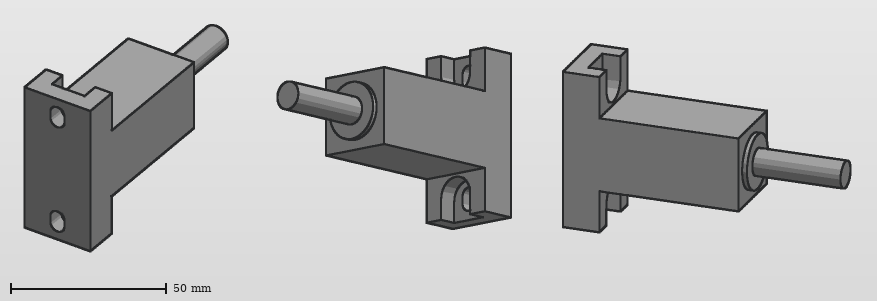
import cadquery as cq

width = 25.4
plate_height = 54.0
plate_thickness = 12.6

body_length = 48.0
collar_diameter = 18.8
collar_length = 1.7
rod_diameter = 9.2
total_length = 92.6
rod_length = total_length - plate_thickness - body_length - collar_length

slot_spacing = 40.1
slot_width = 5.4
slot_length = 7.7
recess_width = 12.6
recess_depth = 6.2


def round_bottomed_recess(side):
    """Recess in the back of the plate, open at the end given by side (+1 or -1)."""
    centre_z = side * slot_spacing / 2
    open_length = plate_height / 2 - slot_spacing / 2
    start_y = plate_thickness - recess_depth
    round_end = (
        cq.Workplane("XZ", origin=(0, start_y, centre_z))
        .circle(recess_width / 2)
        .extrude(-recess_depth)
    )
    open_end = (
        cq.Workplane("XZ", origin=(0, start_y, centre_z + side * open_length / 2))
        .rect(recess_width, open_length)
        .extrude(-recess_depth)
    )
    return round_end.union(open_end)


plate = cq.Workplane("XZ").rect(width, plate_height).extrude(-plate_thickness)

slots = (
    cq.Workplane("XZ")
    .pushPoints([(0, -slot_spacing / 2), (0, slot_spacing / 2)])
    .slot2D(slot_length, slot_width, 90)
    .extrude(-plate_thickness)
)
plate = plate.cut(slots)
for side in (-1, 1):
    plate = plate.cut(round_bottomed_recess(side))

body = (
    cq.Workplane("XZ", origin=(0, plate_thickness, 0))
    .rect(width, width)
    .extrude(-body_length)
)
collar_start = plate_thickness + body_length
collar = (
    cq.Workplane("XZ", origin=(0, collar_start, 0))
    .circle(collar_diameter / 2)
    .extrude(-collar_length)
)
rod = (
    cq.Workplane("XZ", origin=(0, collar_start + collar_length, 0))
    .circle(rod_diameter / 2)
    .extrude(-rod_length)
)

result = plate.union(body).union(collar).union(rod)